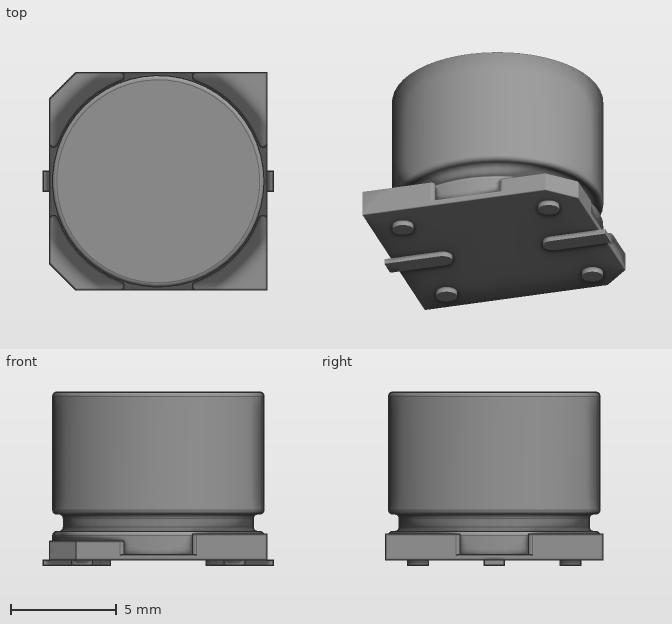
import cadquery as cq
import math

TOTAL_HEIGHT = 8.2

CAN_RADIUS = 5.0
NECK_RADIUS = 4.5
CAN_FILLET = 0.2
GROOVE_BOTTOM = 1.61
GROOVE_TOP = 2.43

BASE_SIDE = 10.3
BASE_BOTTOM = 0.25
BASE_FLOOR = 0.53
BASE_CHAMFER = 1.25
EDGE_FILLET = 0.05

BLOCK_TOP_CHAMFERED = 1.15
BLOCK_TOP_SQUARE = 1.5
NOSE_RADIUS = 0.2
POCKET_RADIUS = 5.07

LEAD_SPAN = 10.9
LEAD_WIDTH = 0.96
LEAD_INNER_END = 2.25
FOOT_DIAMETER = 1.0
FOOT_OFFSET = 3.6

HALF_SIDE = BASE_SIDE / 2
NOSE_CENTRE = HALF_SIDE - NOSE_RADIUS


def make_can():
    """Revolve the can, with a rounded rolled groove near its lower end."""
    f = CAN_FILLET
    profile = (
        cq.Workplane("XZ")
        .moveTo(0, BASE_BOTTOM)
        .lineTo(CAN_RADIUS, BASE_BOTTOM)
        .lineTo(CAN_RADIUS, GROOVE_BOTTOM - f)
        .tangentArcPoint((-f, f))
        .lineTo(NECK_RADIUS + f, GROOVE_BOTTOM)
        .tangentArcPoint((-f, f))
        .lineTo(NECK_RADIUS, GROOVE_TOP - f)
        .tangentArcPoint((f, f))
        .lineTo(CAN_RADIUS - f, GROOVE_TOP)
        .tangentArcPoint((f, f))
        .lineTo(CAN_RADIUS, TOTAL_HEIGHT - f)
        .tangentArcPoint((-f, f))
        .lineTo(0, TOTAL_HEIGHT)
        .close()
    )
    return profile.revolve(360, (0, 0, 0), (0, 1, 0))


def base_prism(top):
    """Base outline up to the given height, chamfered at -X, with a rounded bottom rim."""
    return (
        cq.Workplane("XY", origin=(0, 0, BASE_BOTTOM))
        .rect(BASE_SIDE, BASE_SIDE)
        .extrude(top - BASE_BOTTOM)
        .edges("|Z and <X")
        .chamfer(BASE_CHAMFER)
        .edges("|Z and >X")
        .fillet(EDGE_FILLET)
        .faces("<Z")
        .edges()
        .fillet(EDGE_FILLET)
    )


def make_block(x_side, y_side, top):
    """Corner block with full-round noses at its ends and a concave wall around the can."""
    nose_near = math.sqrt((POCKET_RADIUS + NOSE_RADIUS) ** 2 - NOSE_CENTRE**2)
    nose_angle = math.atan2(NOSE_CENTRE, nose_near)
    mid_angle = (math.pi / 2 + math.pi + nose_angle) / 2
    mid_near = nose_near + NOSE_RADIUS * math.cos(mid_angle)
    mid_far = NOSE_CENTRE + NOSE_RADIUS * math.sin(mid_angle)
    wall_near = POCKET_RADIUS * math.cos(nose_angle)
    wall_far = POCKET_RADIUS * math.sin(nose_angle)
    wall_mid = POCKET_RADIUS * math.cos(math.pi / 4)

    def corner(x, y):
        return (x_side * x, y_side * y)

    outline = (
        cq.Workplane("XY", origin=(0, 0, BASE_BOTTOM))
        .moveTo(*corner(nose_near, HALF_SIDE))
        .lineTo(*corner(HALF_SIDE, HALF_SIDE))
        .lineTo(*corner(HALF_SIDE, nose_near))
        .threePointArc(corner(mid_far, mid_near), corner(wall_far, wall_near))
        .threePointArc(corner(wall_mid, wall_mid), corner(wall_near, wall_far))
        .threePointArc(corner(mid_near, mid_far), corner(nose_near, HALF_SIDE))
        .close()
    )
    return (
        outline.extrude(top - BASE_BOTTOM)
        .intersect(base_prism(top))
        .faces(">Z")
        .edges()
        .fillet(EDGE_FILLET)
    )


def make_base():
    """Square floor plate with a block on each corner."""
    base = base_prism(BASE_FLOOR).faces(">Z").edges().fillet(EDGE_FILLET)
    for y_side in (-1, 1):
        base = base.union(make_block(-1, y_side, BLOCK_TOP_CHAMFERED))
        base = base.union(make_block(1, y_side, BLOCK_TOP_SQUARE))
    return base


def make_lead(x_side):
    """Flat terminal under the base with a rounded inner end."""
    radius = LEAD_WIDTH / 2
    inner_centre = LEAD_INNER_END + radius
    outer_end = LEAD_SPAN / 2
    bar = (
        cq.Workplane("XY")
        .center(x_side * (inner_centre + outer_end) / 2, 0)
        .rect(outer_end - inner_centre, LEAD_WIDTH)
        .extrude(BASE_BOTTOM)
    )
    tip = cq.Workplane("XY").center(x_side * inner_centre, 0).circle(radius).extrude(BASE_BOTTOM)
    return bar.union(tip)


def make_feet():
    """Four round standoff feet under the base."""
    return (
        cq.Workplane("XY")
        .rect(2 * FOOT_OFFSET, 2 * FOOT_OFFSET, forConstruction=True)
        .vertices()
        .circle(FOOT_DIAMETER / 2)
        .extrude(BASE_BOTTOM)
    )


result = make_can().union(make_base()).union(make_feet())
for lead_side in (-1, 1):
    result = result.union(make_lead(lead_side))